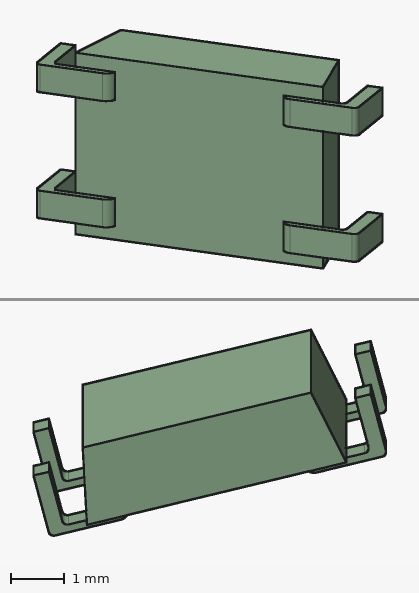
import cadquery as cq

body_base_width = 5.0
body_top_width = 4.4
body_depth = 1.5
body_height = 3.6

span = 6.5
lead_width = 0.55
lead_pitch = 2.5
lead_depth = 1.25
leg_thickness = 0.3
foot_thickness = 0.15
foot_length = 1.55
outer_bend_radius = 0.1
inner_bend_radius = 0.1
foot_tip_radius = 0.2

body_base_y = foot_thickness


def extrude_along_z(profile, length, center_z):
    """Extrude a closed XY profile to a prism centred on the given Z."""
    return profile.extrude(length).translate((0, 0, center_z - length / 2))


def make_body():
    profile = (
        cq.Workplane("XY")
        .moveTo(-body_base_width / 2, body_base_y)
        .lineTo(body_base_width / 2, body_base_y)
        .lineTo(body_top_width / 2, body_base_y + body_depth)
        .lineTo(-body_top_width / 2, body_base_y + body_depth)
        .close()
    )
    return extrude_along_z(profile, body_height, 0)


def make_left_lead(center_z):
    """Lead on the -X side: a leg along Y and a foot reaching under the body."""
    outer_x = -span / 2
    inner_x = outer_x + leg_thickness
    tip_x = outer_x + foot_length
    tip_rise = foot_tip_radius - foot_thickness
    tip_run = (foot_tip_radius**2 - tip_rise**2) ** 0.5
    profile = (
        cq.Workplane("XY")
        .moveTo(outer_x, lead_depth)
        .lineTo(outer_x, outer_bend_radius)
        .radiusArc((outer_x + outer_bend_radius, 0), -outer_bend_radius)
        .lineTo(tip_x - tip_run, 0)
        .radiusArc((tip_x, foot_thickness), -foot_tip_radius)
        .lineTo(inner_x + inner_bend_radius, foot_thickness)
        .radiusArc((inner_x, foot_thickness + inner_bend_radius), inner_bend_radius)
        .lineTo(inner_x, lead_depth)
        .close()
    )
    return extrude_along_z(profile, lead_width, center_z)


result = make_body()
for lead_z in (-lead_pitch / 2, lead_pitch / 2):
    left_lead = make_left_lead(lead_z)
    right_lead = left_lead.mirror("YZ")
    result = result.union(left_lead).union(right_lead)